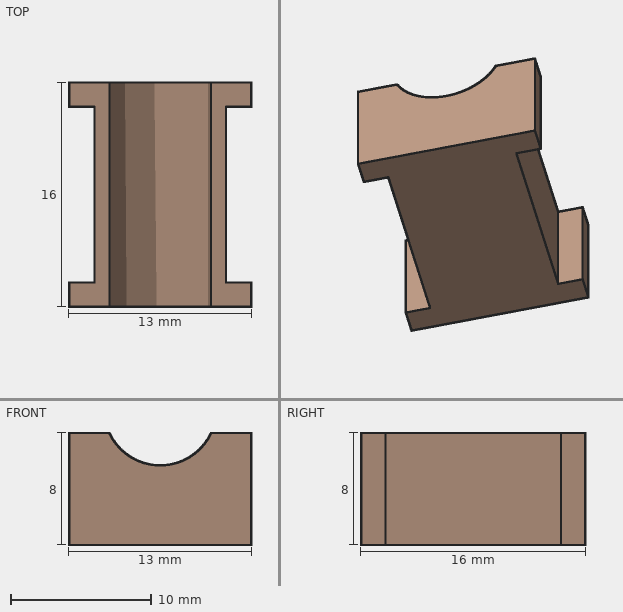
import cadquery as cq

width = 13.0
length = 16.0
height = 8.0

flange_thickness = 1.75
recess_depth = 1.8
recess_length = length - 2 * flange_thickness

groove_radius = 4.0
groove_depth = 2.3
groove_axis_z = height - groove_depth + groove_radius


def side_recess(side):
    """Full-height cutter for the recess on one side (-1 or +1 along X)."""
    center_x = side * (width - recess_depth) / 2
    return (
        cq.Workplane("XY")
        .center(center_x, 0)
        .rect(recess_depth, recess_length)
        .extrude(height)
    )


def cradle_groove():
    """Cylinder along Y whose lower part cuts the cradle."""
    return (
        cq.Workplane("XZ")
        .center(0, groove_axis_z)
        .circle(groove_radius)
        .extrude(length / 2, both=True)
    )


result = cq.Workplane("XY").box(width, length, height, centered=(True, True, False))
for side in (-1, 1):
    result = result.cut(side_recess(side))
result = result.cut(cradle_groove())